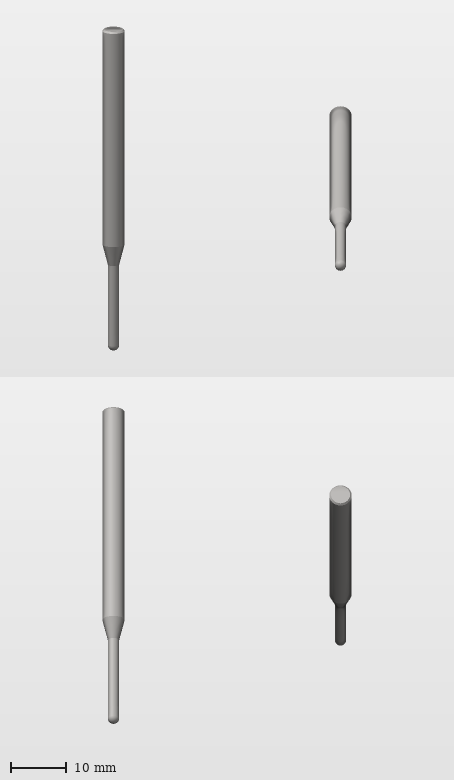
import cadquery as cq
import math

total_length = 60.0
shank_diameter = 4.0
tip_diameter = 2.05
neck_diameter = 2.05
tip_length = 3.0
neck_top = 16.0
shank_bottom = 19.85
end_chamfer = 0.3

shank_radius = shank_diameter / 2
neck_radius = neck_diameter / 2
tip_radius = tip_diameter / 2


def make_holder():
    """Shank, taper and neck turned as one solid, with a chamfered top end."""
    profile = (
        cq.Workplane("XZ")
        .moveTo(0, tip_length)
        .lineTo(neck_radius, tip_length)
        .lineTo(neck_radius, neck_top)
        .lineTo(shank_radius, shank_bottom)
        .lineTo(shank_radius, total_length)
        .lineTo(0, total_length)
        .close()
    )
    holder = profile.revolve(360, (0, 0, 0), (0, 1, 0))
    return holder.faces(">Z").edges().chamfer(end_chamfer)


def make_ball_tip():
    """Cylindrical land with a hemispherical end, seated on the neck's end face."""
    diagonal = tip_radius * math.sqrt(0.5)
    profile = (
        cq.Workplane("XZ")
        .moveTo(0, 0)
        .threePointArc((diagonal, tip_radius - diagonal), (tip_radius, tip_radius))
        .lineTo(tip_radius, tip_length)
        .lineTo(0, tip_length)
        .close()
    )
    return profile.revolve(360, (0, 0, 0), (0, 1, 0))


holder = make_holder()
ball_tip = make_ball_tip()
result = cq.Compound.makeCompound([holder.val(), ball_tip.val()])